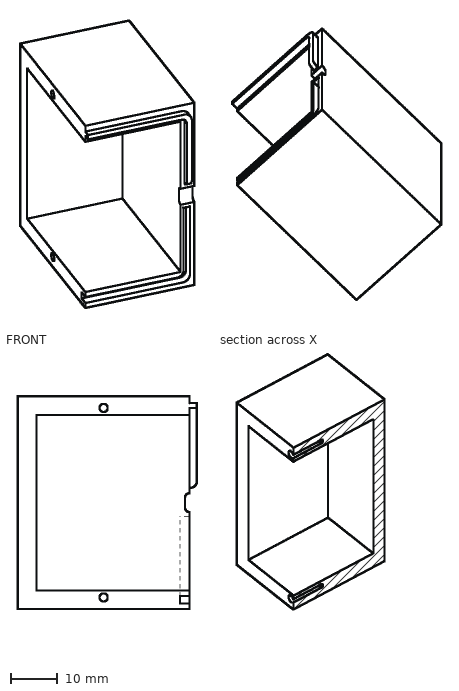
import cadquery as cq

body_length = 36.8
body_depth = 25.18
body_height = 45.5
wall = 4.0
back_wall = 3.18

overall_length = 38.34
tongue_top_inset = 1.45
tongue_back_inset = 1.23
tongue_thickness = 1.1
tongue_outer_radius = 1.7
tongue_inner_radius = 1.5
tongue_tip_radius = 1.4
tongue_bottom = 25.9

clearance = 0.2
groove_depth = 2.1

notch_depth = 1.0
notch_height = 4.0
notch_radius = 0.95

hole_diameter = 1.75
hole_depth = 8.0
drill_point_height = 0.5
hole_inset = 2.5


def block(x_range, y_range, z_range):
    """Solid box between the (low, high) limits along each axis."""
    size = [high - low for low, high in (x_range, y_range, z_range)]
    corner = (x_range[0], y_range[0], z_range[0])
    return cq.Workplane("XY").box(*size, centered=False).translate(corner)


def make_shell():
    body = block((0, body_length), (0, body_depth), (0, body_height))
    pocket = block((wall, body_length), (0, body_depth - back_wall), (wall, body_height - wall))
    return body.cut(pocket)


def corner_strip(x_range, top_inset, back_inset, thickness, outer_radius, inner_radius, end_z):
    """L-shaped strip following the top wall, then down the back wall to end_z."""
    outer_y = body_depth - back_inset
    outer_z = body_height - top_inset
    inner_y = outer_y - thickness
    inner_z = outer_z - thickness
    strip = block(x_range, (0, outer_y), (end_z, outer_z))
    strip = strip.edges("|X and >Y and >Z").fillet(outer_radius)
    inside = block(x_range, (0, inner_y), (end_z, inner_z))
    inside = inside.edges("|X and >Y and >Z").fillet(inner_radius)
    return strip.cut(inside)


def make_tongue():
    tongue = corner_strip(
        (body_length, overall_length),
        tongue_top_inset,
        tongue_back_inset,
        tongue_thickness,
        tongue_outer_radius,
        tongue_inner_radius,
        tongue_bottom,
    )
    return tongue.edges("|Y and >X and <Z").fillet(tongue_tip_radius)


def make_groove():
    """Tongue section widened by the clearance, mirrored into the lower half."""
    groove = corner_strip(
        (body_length - groove_depth, body_length),
        tongue_top_inset - clearance,
        tongue_back_inset - clearance,
        tongue_thickness + 2 * clearance,
        tongue_outer_radius,
        tongue_inner_radius - clearance,
        tongue_bottom - clearance,
    )
    return groove.mirror("XY", (0, 0, body_height / 2))


def make_notch():
    notch = block(
        (body_length - notch_depth, body_length),
        (0, body_depth),
        ((body_height - notch_height) / 2, (body_height + notch_height) / 2),
    )
    return notch.edges("|Y and <X").fillet(notch_radius)


def make_screw_hole(z):
    radius = hole_diameter / 2
    profile = (
        cq.Workplane("XY")
        .polyline([(0, 0), (radius, 0), (radius, hole_depth), (0, hole_depth + drill_point_height)])
        .close()
    )
    return profile.revolve(360, (0, 0, 0), (0, 1, 0)).translate((body_length / 2, 0, z))


result = make_shell().union(make_tongue()).cut(make_groove()).cut(make_notch())
for hole_z in (hole_inset, body_height - hole_inset):
    result = result.cut(make_screw_hole(hole_z))